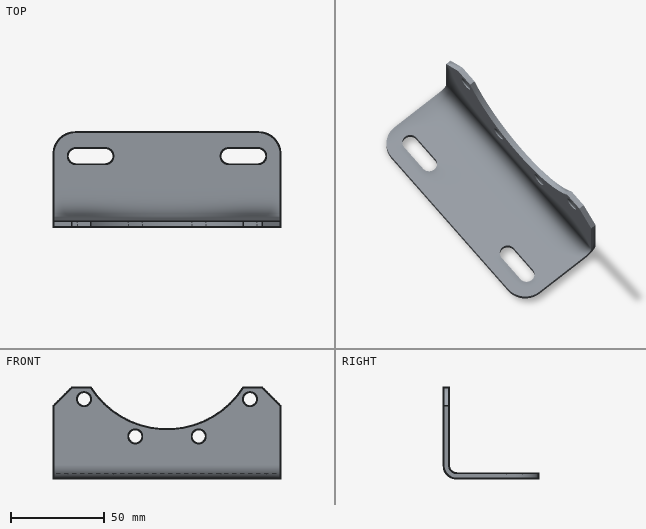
import cadquery as cq

length = 122.0
depth = 51.0
height = 49.0
thickness = 3.0
inner_bend_radius = 4.0
outer_bend_radius = inner_bend_radius + thickness

base_corner_radius = 12.0
slot_length = 24.4
slot_width = 8.5
slot_offset = 41.0
slot_to_back_edge = 12.9

top_chamfer = 10.0
cradle_radius = 48.4
cradle_center_z = height + 26.0
bolt_circle_radius = 55.0
bolt_hole_diameter = 7.5
bolt_hole_spacing = 36.0
bolt_hole_count = 4


def bent_sheet():
    """L-shaped sheet with concentric inner and outer bend radii."""
    outer = cq.Workplane("XY").box(length, depth, height, centered=(True, False, False))
    outer = outer.edges("|X and <Y and <Z").fillet(outer_bend_radius)
    inner = (
        cq.Workplane("XY")
        .box(length, depth - thickness, height - thickness, centered=(True, False, False))
        .edges("|X and <Y and <Z")
        .fillet(inner_bend_radius)
        .translate((0, thickness, thickness))
    )
    return outer.cut(inner)


def base_slots():
    """Two mounting slots running along X."""
    return (
        cq.Workplane("XY")
        .pushPoints([(side * slot_offset, depth - slot_to_back_edge) for side in (-1, 1)])
        .slot2D(slot_length, slot_width)
        .extrude(thickness)
    )


def upright_cutouts():
    """Cradle arc and bolt holes through the upright flange."""
    center = cq.Workplane("XZ").center(0, cradle_center_z)
    cradle = center.circle(cradle_radius).extrude(-thickness)
    bolt_arc_span = bolt_hole_spacing * (bolt_hole_count - 1)
    first_bolt_angle = -90 - bolt_arc_span / 2
    holes = (
        center.polarArray(bolt_circle_radius, first_bolt_angle, bolt_arc_span, bolt_hole_count)
        .circle(bolt_hole_diameter / 2)
        .extrude(-thickness)
    )
    return cradle.union(holes)


bracket = bent_sheet()
bracket = bracket.edges("|Z and >Y").fillet(base_corner_radius)
bracket = bracket.edges("|Y and >Z").chamfer(top_chamfer)
result = bracket.cut(base_slots()).cut(upright_cutouts())